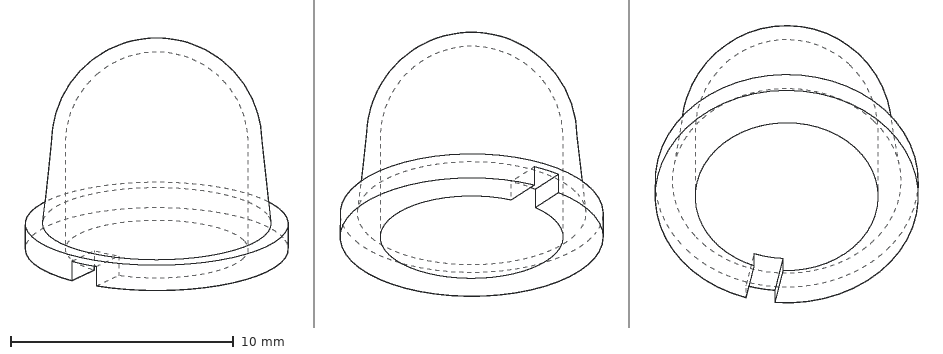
import cadquery as cq

flange_diameter = 11.8
flange_height = 1.2

body_base_diameter = 10.25
dome_radius = 4.73
total_height = 9.74
dome_start = total_height - dome_radius

bore_radius = 8.2 / 2

notch_width = 1.32
notch_height = 0.92


def make_flange():
    return cq.Workplane("XY").circle(flange_diameter / 2).extrude(flange_height)


def make_domed_body():
    """Frustum standing on the flange, with the dome on top."""
    cone = (
        cq.Workplane("XY", origin=(0, 0, flange_height))
        .circle(body_base_diameter / 2)
        .workplane(offset=dome_start - flange_height)
        .circle(dome_radius)
        .loft(ruled=True)
    )
    return cone.union(make_round_end(dome_radius))


def make_round_end(radius):
    """Upper half of a sphere centred on the dome centre."""
    quarter = (
        cq.Workplane("XZ", origin=(0, 0, dome_start))
        .lineTo(radius, 0)
        .threePointArc((radius * 0.5**0.5, radius * 0.5**0.5), (0, radius))
        .close()
    )
    return quarter.revolve(360, (0, 0, 0), (0, 1, 0))


def make_cavity():
    bore = cq.Workplane("XY").circle(bore_radius).extrude(dome_start)
    return bore.union(make_round_end(bore_radius))


def make_notch():
    """Slot running from the axis out through the -Y rim."""
    notch_length = flange_diameter / 2
    slot = cq.Workplane("XY").box(
        notch_width, notch_length, notch_height, centered=(True, False, False)
    )
    return slot.translate((0, -notch_length, 0))


outside = make_flange().union(make_domed_body())
result = outside.cut(make_cavity()).cut(make_notch())